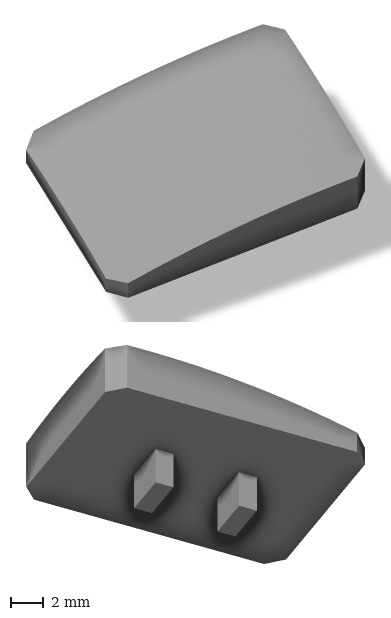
import cadquery as cq

width = 13.0
length = 17.5
corner_chamfer = 1.0
crown_height = 3.544

crown_radius = 60.0
crown_y = 6.53

leg_width = 3.0
leg_thickness = 1.2
leg_length = 2.5
leg_spacing = 5.62


def make_body():
    """Block with chamfered corners, its top trimmed to a sphere."""
    block = (
        cq.Workplane("XY")
        .box(width, length, crown_height, centered=(True, True, False))
        .edges("|Z")
        .chamfer(corner_chamfer)
    )
    crown_center = (0, crown_y, crown_height - crown_radius)
    crown = cq.Workplane("XY").sphere(crown_radius).translate(crown_center)
    return block.intersect(crown)


def make_legs():
    """Two rectangular legs hanging from the flat underside."""
    return (
        cq.Workplane("XY")
        .rarray(1, leg_spacing, 1, 2)
        .rect(leg_width, leg_thickness)
        .extrude(-leg_length)
    )


result = make_body().union(make_legs())